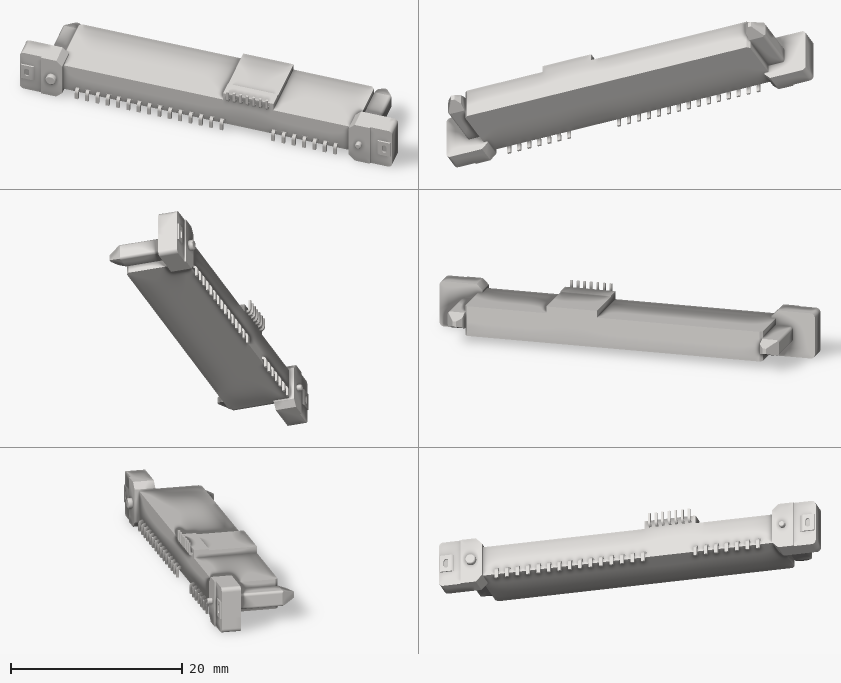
import cadquery as cq
import math


LENGTH = 45.75
TOTAL_HEIGHT = 6.25

LUG_HEIGHT = 5.55
LUG_DEPTH = 2.5
LUG_WIDTH = 5.25
LUG_CHAMFER = 0.75
LUG_ROUNDING = 0.5
STEP_WIDTH = 2.65
STEP_DEPTH = 0.2

CLIP_EDGE_GAP = 0.2
CLIP_FLAT = 1.25
CLIP_HEIGHT = 2.05
CLIP_BEND_RADIUS = 0.55
CLIP_SLOT_WIDTH = 0.55
CLIP_SLOT_LENGTH = 1.1
CLIP_SLOT_DEPTH = 0.2
CLIP_SLOT_OFFSET = 0.75

POST_X = 18.9
POST_LENGTH = 0.55
POST_CHAMFER = 0.1
LEFT_POST_DIAMETER = 1.25
RIGHT_POST_DIAMETER = 0.75

HOUSING_LENGTH = 36.3
HOUSING_FRONT = 0.6
HOUSING_BACK = 8.2
HOUSING_CLEARANCE = 0.9
HOUSING_BOTTOM = HOUSING_CLEARANCE - LUG_HEIGHT / 2
HOUSING_TOP = 1.8
HOUSING_CORNER = 0.3

BLOCK_X = 5.1
BLOCK_LENGTH = 6.18
BLOCK_TOP = 2.6
RIM_TOP = LUG_HEIGHT / 2
RIM_BACK = 2.4

PEG_WIDTH = 2.05
PEG_HEIGHT = 1.9
PEG_ROUNDING = 0.3
PEG_TIP = 9.9
PEG_TIP_WIDTH = 0.4
PEG_TIP_HEIGHT = 0.65
PEG_TIP_OFFSET = 0.55
PEG_INNER_SHOULDER = 9.15

CONTACT_FRONT = 0.05
CONTACT_THICKNESS = 0.27
CONTACT_BEND_RADIUS = 0.5
CONTACT_ROOT_LENGTH = 0.025
CONTACT_ROOT_HEIGHT = 0.2
ROW_LENGTH = 31.75
CONTACT_SLOTS = 26
SKIPPED_SLOTS = range(15, 19)
CONTACT_WIDTH = 0.4
CONTACT_ROOT_WIDTH = 0.7
CONTACT_TOP = -1.2
CONTACT_END = -2.5

FINE_ROW_LENGTH = 4.8
FINE_COUNT = 7
FINE_WIDTH = 0.27
FINE_ROOT_WIDTH = 0.45
FINE_BOTTOM = 1.9
FINE_END = TOTAL_HEIGHT - LUG_HEIGHT / 2


def box(x_range, y_range, z_range):
    """Box between the given limits along each axis."""
    lower, upper = zip(x_range, y_range, z_range)
    size = [high - low for low, high in zip(lower, upper)]
    return cq.Workplane("XY").box(*size, centered=False).translate(lower)


def make_housing():
    half = HOUSING_LENGTH / 2
    shell = box((-half, half), (HOUSING_FRONT, HOUSING_BACK), (HOUSING_BOTTOM, HOUSING_TOP))
    shell = shell.edges("|Z and >Y").chamfer(HOUSING_CORNER)
    block_x = (BLOCK_X - BLOCK_LENGTH / 2, BLOCK_X + BLOCK_LENGTH / 2)
    block = box(block_x, (HOUSING_FRONT, HOUSING_BACK), (0, BLOCK_TOP))
    rim = box(block_x, (HOUSING_FRONT, RIM_BACK), (0, RIM_TOP))
    return shell.union(block).union(rim)


def make_lug():
    """Left lug: rounded outer edges, chamfered inner edges, stepped back at its outer end."""
    outer = -LENGTH / 2
    half = LUG_HEIGHT / 2
    lug = box((outer, outer + LUG_WIDTH), (0, LUG_DEPTH), (-half, half))
    lug = lug.edges("|Y and <X").fillet(LUG_ROUNDING)
    lug = lug.edges("|Y and >X").chamfer(LUG_CHAMFER)
    return lug.cut(box((outer, outer + STEP_WIDTH), (0, STEP_DEPTH), (-half, half)))


def make_clip():
    """Left solder clip: flat strip with a slot, its inner end bent into the lug."""
    start = -LENGTH / 2 + CLIP_EDGE_GAP
    bend = start + CLIP_FLAT
    arc_middle = math.sqrt(0.5) * CLIP_BEND_RADIUS
    clip = (
        cq.Workplane("XY")
        .moveTo(start, 0)
        .lineTo(bend, 0)
        .threePointArc(
            (bend + arc_middle, CLIP_BEND_RADIUS - arc_middle),
            (bend + CLIP_BEND_RADIUS, CLIP_BEND_RADIUS),
        )
        .lineTo(start, CLIP_BEND_RADIUS)
        .close()
        .extrude(CLIP_HEIGHT / 2, both=True)
    )
    slot = (
        cq.Workplane("XZ")
        .center(start + CLIP_SLOT_OFFSET, 0)
        .slot2D(CLIP_SLOT_LENGTH, CLIP_SLOT_WIDTH, 90)
        .extrude(-CLIP_SLOT_DEPTH)
    )
    return clip.cut(slot)


def make_peg():
    """Left guide peg: rounded outer edges and a tip tapered in width and height."""
    inner = -HOUSING_LENGTH / 2
    outer = inner - PEG_WIDTH
    tip_inner = inner - PEG_TIP_OFFSET
    half = PEG_HEIGHT / 2
    half_tip = PEG_TIP_HEIGHT / 2
    bar = box((outer, inner), (HOUSING_FRONT, PEG_TIP), (-half, half))
    bar = bar.edges("|Y and <X").fillet(PEG_ROUNDING)
    plan = (
        cq.Workplane("XY")
        .polyline([
            (outer, HOUSING_FRONT),
            (inner, HOUSING_FRONT),
            (inner, PEG_INNER_SHOULDER),
            (tip_inner, PEG_TIP),
            (tip_inner - PEG_TIP_WIDTH, PEG_TIP),
            (outer, HOUSING_BACK),
        ])
        .close()
        .extrude(half, both=True)
    )
    side = (
        cq.Workplane("YZ")
        .polyline([
            (HOUSING_FRONT, -half),
            (HOUSING_BACK, -half),
            (PEG_TIP, -half_tip),
            (PEG_TIP, half_tip),
            (HOUSING_BACK, half),
            (HOUSING_FRONT, half),
        ])
        .close()
        .extrude(-LENGTH)
    )
    return bar.intersect(plan).intersect(side)


def make_post(x, diameter):
    post = cq.Workplane("XZ").center(x, 0).circle(diameter / 2).extrude(POST_LENGTH)
    return post.faces("<Y").chamfer(POST_CHAMFER)


def make_contact(x, width, root_width, bend_z, end_z):
    """Contact leaving the housing at bend_z and turning along Z to end_z, on a wider root."""
    leg_back = CONTACT_FRONT + CONTACT_THICKNESS
    inner_radius = CONTACT_BEND_RADIUS - CONTACT_THICKNESS
    bend_y = CONTACT_FRONT + CONTACT_BEND_RADIUS
    inside = HOUSING_FRONT + CONTACT_THICKNESS

    def arc_middle(radius):
        offset = radius * math.sqrt(0.5)
        return bend_y - offset, CONTACT_BEND_RADIUS - offset

    length = abs(end_z - bend_z)
    leg = (
        cq.Workplane("YZ")
        .moveTo(inside, 0)
        .lineTo(bend_y, 0)
        .threePointArc(arc_middle(CONTACT_BEND_RADIUS), (CONTACT_FRONT, CONTACT_BEND_RADIUS))
        .lineTo(CONTACT_FRONT, length)
        .lineTo(leg_back, length)
        .lineTo(leg_back, CONTACT_BEND_RADIUS)
        .threePointArc(arc_middle(inner_radius), (bend_y, CONTACT_THICKNESS))
        .lineTo(inside, CONTACT_THICKNESS)
        .close()
        .extrude(width / 2, both=True)
    )
    root = box(
        (-root_width / 2, root_width / 2),
        (HOUSING_FRONT - CONTACT_ROOT_LENGTH, inside),
        (0, CONTACT_ROOT_HEIGHT),
    )
    contact = leg.union(root)
    if end_z < bend_z:
        contact = contact.mirror("XY")
    return contact.translate((x, 0, bend_z))


def row_positions(count, length, middle):
    """Evenly spaced positions, from the first to the last of a row of the given length."""
    pitch = length / (count - 1)
    return [middle - length / 2 + i * pitch for i in range(count)]


result = make_housing()

left_end = make_lug().union(make_clip()).union(make_peg())
result = result.union(left_end).union(left_end.mirror("YZ"))
result = result.union(make_post(-POST_X, LEFT_POST_DIAMETER))
result = result.union(make_post(POST_X, RIGHT_POST_DIAMETER))

for slot, x in enumerate(row_positions(CONTACT_SLOTS, ROW_LENGTH, 0)):
    if slot not in SKIPPED_SLOTS:
        contact = make_contact(x, CONTACT_WIDTH, CONTACT_ROOT_WIDTH, CONTACT_TOP, CONTACT_END)
        result = result.union(contact)

for x in row_positions(FINE_COUNT, FINE_ROW_LENGTH, BLOCK_X):
    contact = make_contact(x, FINE_WIDTH, FINE_ROOT_WIDTH, FINE_BOTTOM, FINE_END)
    result = result.union(contact)